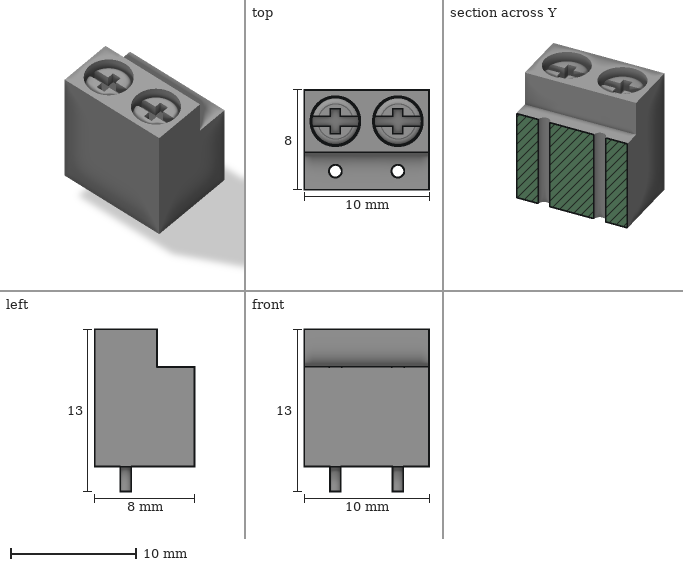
import cadquery as cq


pole_count = 2
housing_width = 10.0
housing_depth = 8.0
total_height = 13
ledge_depth = 3.0
step_height = 3.0

pin_length = 2.0
pin_diameter = 0.9

well_diameter = 4.0
well_depth = 2.0
screw_gap = 0.1
screw_diameter = well_diameter - 2 * screw_gap
screw_recess = 0.6
screw_edge_radius = 0.5
slot_width = 0.8
slot_depth = 1.0
cross_slot_length = 2.0

wire_hole_diameter = 1.0

housing_height = total_height - pin_length
ledge_height = housing_height - step_height
screw_y = (ledge_depth + housing_depth) / 2
wire_hole_y = ledge_depth / 2
pole_pitch = housing_width / pole_count
pole_positions = [(i + 0.5) * pole_pitch for i in range(pole_count)]


def make_housing():
    """Block with a step along the wire side."""
    profile = [
        (0, 0),
        (housing_depth, 0),
        (housing_depth, housing_height),
        (ledge_depth, housing_height),
        (ledge_depth, ledge_height),
        (0, ledge_height),
    ]
    return cq.Workplane("YZ").polyline(profile).close().extrude(housing_width)


def cylinder(x, y, bottom, diameter, height):
    """Upright cylinder standing on the given bottom height."""
    return cq.Workplane("XY", origin=(x, y, bottom)).circle(diameter / 2).extrude(height)


def make_screw(x):
    """Rounded screw head with a full-width slot and a shorter cross slot."""
    well_floor = housing_height - well_depth
    screw_top = housing_height - screw_recess
    head = cylinder(x, screw_y, well_floor, screw_diameter, screw_top - well_floor)
    head = head.faces(">Z").edges().fillet(screw_edge_radius)
    top_plane = cq.Workplane("XY", origin=(x, screw_y, screw_top))
    long_slot = top_plane.rect(well_diameter, slot_width).extrude(-slot_depth)
    cross_slot = top_plane.rect(slot_width, cross_slot_length).extrude(-slot_depth)
    return head.cut(long_slot).cut(cross_slot)


result = make_housing()
for pole_x in pole_positions:
    well = cylinder(pole_x, screw_y, housing_height, well_diameter, -well_depth)
    wire_hole = cylinder(pole_x, wire_hole_y, 0, wire_hole_diameter, ledge_height)
    pin = cylinder(pole_x, screw_y, 0, pin_diameter, -pin_length)
    result = result.cut(well).cut(wire_hole).union(make_screw(pole_x)).union(pin)